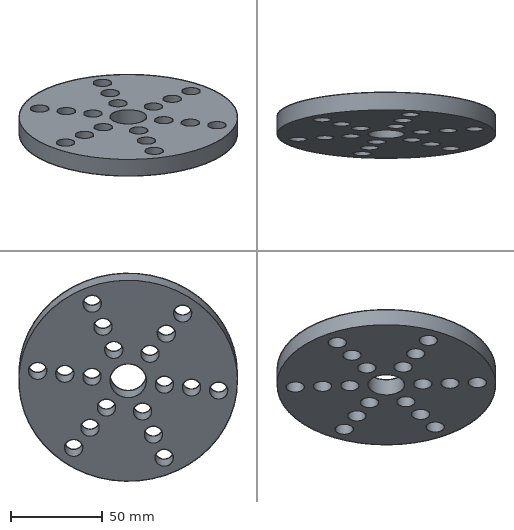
import cadquery as cq

disc_diameter = 120.0
disc_thickness = 10.0
bore_diameter = 20.0
hole_diameter = 10.0

spoke_count = 6
inner_ring_radius = 20.0
ring_spacing = 15.0
ring_count = 3
first_spoke_angle = 0.0
full_turn = 360.0


def make_disc():
    """Round plate with its bottom face on Z = 0."""
    return cq.Workplane("XY").circle(disc_diameter / 2).extrude(disc_thickness)


def cut_bore(body):
    """Central through bore."""
    return body.faces(">Z").workplane(origin=(0, 0, 0)).hole(bore_diameter)


def cut_hole_ring(body, ring_radius):
    """One ring of through holes, one hole on each spoke."""
    return (
        body.faces(">Z")
        .workplane(origin=(0, 0, 0))
        .polarArray(ring_radius, first_spoke_angle, full_turn, spoke_count)
        .hole(hole_diameter)
    )


result = cut_bore(make_disc())
for ring_index in range(ring_count):
    result = cut_hole_ring(result, inner_ring_radius + ring_index * ring_spacing)